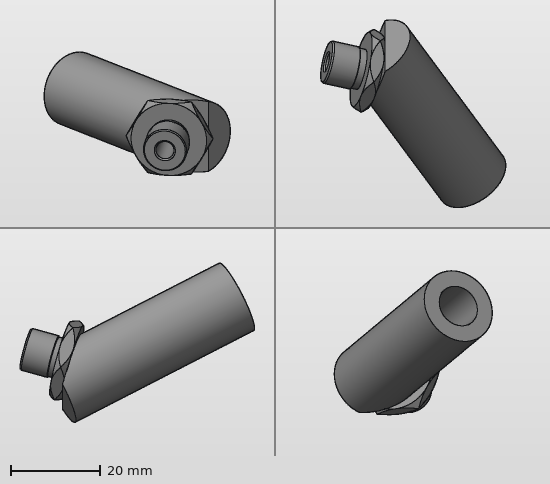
import cadquery as cq
import math

overall_length = 50.55

body_diameter = 17.0
body_length = 45.5
bore_diameter = 9.5
bore_depth = 22.75
passage_diameter = 4.05

miter_angle = 45.0
miter_x = 43.3

elbow_x = 35.55

hex_across_flats = body_diameter
hex_thickness = 3.05

neck_diameter = 9.2
neck_length = 1.5
thread_diameter = 9.7
runout_length = 0.15
tip_chamfer_length = 0.4
tip_chamfer_depth = 0.25
mouth_chamfer = 0.35

angle = math.radians(miter_angle)
elbow_to_face = (miter_x - elbow_x) * math.cos(angle)
face_center_x = elbow_x + elbow_to_face * math.cos(angle)
face_center_y = -elbow_to_face * math.sin(angle)

tip_rim_radius = thread_diameter / 2 - tip_chamfer_depth
tip_height = (overall_length - face_center_x) / math.cos(angle) - tip_rim_radius

slanted_face = cq.Plane(
    origin=(face_center_x, face_center_y, 0),
    xDir=(0, 0, 1),
    normal=(math.cos(angle), -math.sin(angle), 0),
)


def revolve_on_fitting_axis(profile):
    """Revolve (radius, height) points about the fitting axis, height 0 being the slanted face."""
    solid = cq.Workplane("XZ").polyline(profile).close().revolve(360, (0, 0), (0, 1))
    return cq.Workplane(slanted_face).newObject([solid.val().moved(slanted_face.location)])


def make_body():
    """Cylinder cut off along the slanted face."""
    cylinder = cq.Workplane("YZ").circle(body_diameter / 2).extrude(body_length)
    beyond_face = cq.Workplane(slanted_face).rect(2 * body_length, 2 * body_length).extrude(body_length)
    return cylinder.cut(beyond_face)


def make_hex_collar():
    """Hexagon with flats up and down, coned on both faces so the cones meet at the corners."""
    flat_radius = hex_across_flats / 2
    corner_radius = flat_radius / math.cos(math.radians(30))
    prism = cq.Workplane(slanted_face).transformed(rotate=(0, 0, 30))
    prism = prism.polygon(6, 2 * corner_radius).extrude(hex_thickness)
    double_cone = revolve_on_fitting_axis([
        (0, 0),
        (flat_radius, 0),
        (corner_radius, hex_thickness / 2),
        (flat_radius, hex_thickness),
        (0, hex_thickness),
    ])
    return prism.intersect(double_cone)


def make_stub():
    """Neck and thread blank with a chamfered tip."""
    neck_end = hex_thickness + neck_length
    neck_radius = neck_diameter / 2
    thread_radius = thread_diameter / 2
    return revolve_on_fitting_axis([
        (0, hex_thickness),
        (neck_radius, hex_thickness),
        (neck_radius, neck_end),
        (thread_radius, neck_end + runout_length),
        (thread_radius, tip_height - tip_chamfer_length),
        (tip_rim_radius, tip_height),
        (0, tip_height),
    ])


def make_bore():
    """Blind bore in the open end of the body."""
    return cq.Workplane("YZ").circle(bore_diameter / 2).extrude(bore_depth)


def make_passage():
    """Passage from the bore, round a mitred elbow, to the tip of the stub."""
    tip_distance = elbow_to_face + tip_height
    path = cq.Workplane("XY").polyline([
        (0, 0),
        (elbow_x, 0),
        (elbow_x + tip_distance * math.cos(angle), -tip_distance * math.sin(angle)),
    ])
    return cq.Workplane("YZ").circle(passage_diameter / 2).sweep(path, transition="right")


def make_mouth_chamfer():
    """Countersink where the passage leaves the tip."""
    passage_radius = passage_diameter / 2
    return revolve_on_fitting_axis([
        (0, tip_height - mouth_chamfer),
        (passage_radius, tip_height - mouth_chamfer),
        (passage_radius + mouth_chamfer, tip_height),
        (0, tip_height),
    ])


result = make_body().union(make_hex_collar()).union(make_stub())
result = result.cut(make_bore()).cut(make_passage()).cut(make_mouth_chamfer())